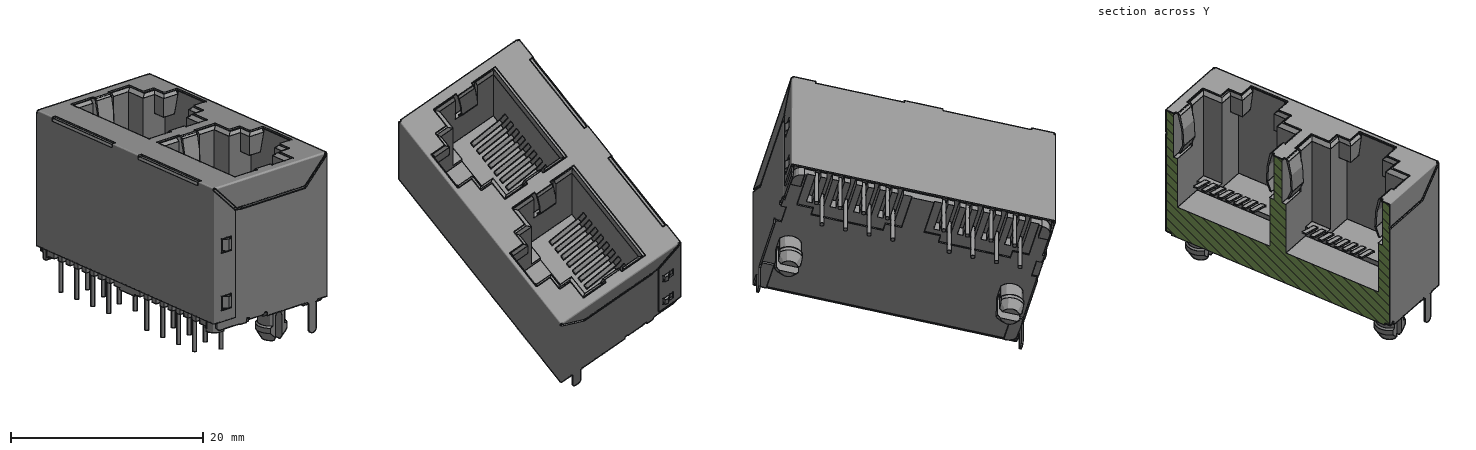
import cadquery as cq
import math


BODY_X = 28.5
BODY_Y = 15.6
TOP_Z = 16.2
SHEET = 0.17
SIDE_X = BODY_X / 2
FRONT_Y = -BODY_Y / 2
REAR_Y = BODY_Y / 2
INNER_X = SIDE_X - SHEET
INNER_FRONT = FRONT_Y + SHEET
INNER_REAR = REAR_Y - SHEET
INNER_TOP = TOP_Z - SHEET
FRONT_BOTTOM_Z = 0.98

SEAM_GAP = 0.3
SEAM_DROP = 3.13
FLAP_END_Y = -4.85
JOGGLE_START_Y = -3.95
JOGGLE_END_Y = -4.52
TONGUE_INNER_X = INNER_X - SHEET
TONGUE_END_Y = -7.27
TONGUE_CHAMFER = 0.32
WINDOW_Y, WINDOW_W, WINDOW_H = -6.08, 1.33, 1.62
WINDOW_Z = (9.5, 3.05)
LATCH_X = 14.48
LATCH_H = 1.3
LATCH_BACK_Y, LATCH_CREST_Y, LATCH_RAMP_Y = -5.55, -5.93, -6.45
LATCH_BACK_DROP = 0.05
GROUND_Y, GROUND_W, PIN_TIP_Z = 5.73, 1.0, -3.55
GROUND_CHAMFER = 0.2
LIP_Y, LIP_W, LIP_Z, LIP_DEPTH = -1.9, 1.97, 0.2, 0.58
LIP_BEND_R = 0.15
RELIEF_W, RELIEF_H, RELIEF_R = 0.43, 0.5, 0.17
EDGE_SLOT_W, EDGE_SLOT_DEPTH, EDGE_SLOT_H = 9.55, 0.5, 0.43

PORT_SPACING = 13.72
PORT_X = PORT_SPACING / 2
PORT_CENTRES = (-PORT_X, PORT_X)
OPENING_HALVES = (6.25, 4.0, 2.35)
OPENING_LEVELS = (-3.97, 4.05, 5.47, 7.25)
OPENING_CORNER_R = 0.15
SPRING_Y, SPRING_W = 0.12, 2.03
SPRING_ROOT, SPRING_BEND, SPRING_KNEE, SPRING_CREST = 5.95, 5.67, 5.33, 5.2
SPRING_BEND_Z = 15.92
SPRING_KNEE_Z, SPRING_CREST_Z, SPRING_TIP_Z = 14.19, 12.15, 11.0
SPRING_BAY_W, SPRING_BAY_HALF, SPRING_BAY_Z = 2.85, 6.3, 10.42
LEAD_IN = 0.32
UPPER_LEAD_IN = 0.45
SHOULDER_Z = 13.6
LATCH_TOP_SLOPE = 0.55
CAVITY_BOTTOM_Y, FLOOR_STEP_Y = -3.4, 2.4
CAVITY_HALF, CAVITY_Y = 5.82, 3.55
CHANNEL_HALF, SHOULDER_Y = 3.47, 5.12
LATCH_HALF, LATCH_Y = 2.0, 6.6
FLOOR_Z, CHANNEL_FLOOR_Z, WING_FLOOR_Z = 4.05, 4.63, 5.2

CONTACT_COUNT = 8
CONTACT_PITCH, CONTACT_W, CONTACT_T = 1.0, 0.52, 0.2
CONTACT_ROOT_Z, CONTACT_BEND_Y, CONTACT_BEND_Z = 8.68, -2.7, 8.08
CONTACT_KNEE_Y, CONTACT_KNEE_Z, CONTACT_TIP_Y, CONTACT_TIP_Z = 0.85, 7.25, 1.05, 7.12
PIN_PITCH, PIN_D = 1.27, 0.43
PIN_ROWS_Y = (-6.85, -4.3)
PIN_SLOT_W, PIN_SLOT_Z = 0.6, 1.45
POCKET_H = 0.2
POCKET_W, POCKET_END_Y = 11.3, -3.47
POCKET_CORE_W, POCKET_CORE_END_Y = 7.75, -2.6
PEG_X, PEG_Y, PEG_FLAT_W = 11.93, 2.03, 2.4
PEG_R, BARB_R, PEG_TIP_R = 1.45, 1.65, 1.0
BARB_START_Z, BARB_TOP_Z, BARB_LOW_Z, PEG_TIP_Z = -1.97, -2.15, -2.72, -3.8
PEG_SLIT_W, PEG_SLIT_TOP_Z = 0.85, -0.58
FOOT_INNER_X, FOOT_H, FOOT_CORNER_R = 12.8, 0.3, 0.98
FRONT_FOOT_Y, REAR_FOOT_Y = -6.1, 4.55
FRONT_STEP = 0.12
RECESS_START_Y = -3.8


def span_box(x0, x1, y0, y1, z0, z1):
    """Box between two corner points."""
    return cq.Workplane("XY").box(x1 - x0, y1 - y0, z1 - z0, centered=False).translate((x0, y0, z0))


def both_sides(solid):
    """The solid of the +X side together with its mirror image."""
    return solid.union(solid.mirror("YZ"))


def stepped_outline(halves, levels):
    """Points of a T-shaped port outline from its three half widths and four Y levels, lowest first."""
    body, step, slot = halves
    low, shoulder, ledge, top = levels
    right = [(body, low), (body, shoulder), (step, shoulder), (step, ledge), (slot, ledge), (slot, top)]
    return right + [(-x, y) for x, y in reversed(right)]



def shield_opening():
    """Port opening in the top sheet, its four inward-pointing sheet corners rounded."""
    points = stepped_outline(OPENING_HALVES, OPENING_LEVELS)
    opening = cq.Workplane("XY").polyline(points).close().extrude(SHEET)
    for x, y in (points[2], points[4], points[7], points[9]):
        corner = cq.selectors.NearestToPointSelector((x, y, SHEET / 2))
        opening = opening.edges(corner).fillet(OPENING_CORNER_R)
    return opening.translate((0, 0, INNER_TOP))


def contact_spring():
    """Sheet finger bent down from the +X edge of an opening and bowed into the port."""
    root = OPENING_HALVES[0] + SHEET
    inner = [
        (SPRING_ROOT, TOP_Z),
        (SPRING_BEND, SPRING_BEND_Z),
        (SPRING_KNEE, SPRING_KNEE_Z),
        (SPRING_CREST, SPRING_CREST_Z),
        (SPRING_BEND, SPRING_TIP_Z),
    ]
    outer = [
        (SPRING_BEND + SHEET, SPRING_TIP_Z),
        (SPRING_CREST + SHEET, SPRING_CREST_Z),
        (SPRING_KNEE + SHEET, SPRING_KNEE_Z),
        (SPRING_ROOT, INNER_TOP),
    ]
    outline = [(root, TOP_Z)] + inner + outer + [(root, INNER_TOP)]
    finger = cq.Workplane("XZ").polyline(outline).close().extrude(SPRING_W / 2, both=True)
    return finger.translate((0, SPRING_Y, 0))


def side_seam():
    """Open seam in the +X wall: two 45 degree legs from the top corners and a level run between them."""
    half = SEAM_GAP / 2
    leg = half * math.tan(math.radians(22.5))
    slant = SEAM_GAP / math.sqrt(2)
    low_z = TOP_Z - SEAM_DROP - half
    high_z = TOP_Z - SEAM_DROP + half
    low_y = REAR_Y - SEAM_DROP + leg
    high_y = REAR_Y - SEAM_DROP - leg
    points = [
        (-low_y, low_z),
        (low_y, low_z),
        (REAR_Y, TOP_Z - slant),
        (REAR_Y, TOP_Z),
        (REAR_Y - slant, TOP_Z),
        (high_y, high_z),
        (-high_y, high_z),
        (slant - REAR_Y, TOP_Z),
        (-REAR_Y, TOP_Z),
        (-REAR_Y, TOP_Z - slant),
    ]
    return cq.Workplane("YZ").workplane(offset=INNER_X).polyline(points).close().extrude(SHEET)


def joggled_tongue():
    """Front part of the +X wall, stepped inwards by one sheet to pass under the front flap."""
    middle_y = (JOGGLE_START_Y + JOGGLE_END_Y) / 2
    tongue = (
        cq.Workplane("XY")
        .moveTo(SIDE_X, JOGGLE_START_Y + SHEET)
        .lineTo(SIDE_X, JOGGLE_START_Y)
        .tangentArcPoint((SIDE_X - SHEET / 2, middle_y), relative=False)
        .tangentArcPoint((INNER_X, JOGGLE_END_Y), relative=False)
        .lineTo(INNER_X, TONGUE_END_Y)
        .lineTo(TONGUE_INNER_X, TONGUE_END_Y)
        .lineTo(TONGUE_INNER_X, JOGGLE_END_Y)
        .tangentArcPoint((INNER_X - SHEET / 2, middle_y), relative=False)
        .tangentArcPoint((INNER_X, JOGGLE_START_Y), relative=False)
        .lineTo(INNER_X, JOGGLE_START_Y + SHEET)
        .close()
        .extrude(TOP_Z - SEAM_DROP - SEAM_GAP / 2)
    )
    return tongue.faces("<Y").edges("<Z").chamfer(TONGUE_CHAMFER)


def latch_bump(z):
    """Ramped latch pressed out of the tongue through a flap window at height z."""
    points = [
        (INNER_X, LATCH_BACK_Y),
        (LATCH_X - LATCH_BACK_DROP, LATCH_BACK_Y),
        (LATCH_X, LATCH_CREST_Y),
        (INNER_X, LATCH_RAMP_Y),
    ]
    bump = cq.Workplane("XY").polyline(points).close().extrude(LATCH_H)
    return bump.translate((0, 0, z - LATCH_H / 2))


def ground_tab():
    """Round-ended solder tab below the +X wall, splayed where it joins the wall."""
    half = GROUND_W / 2
    root = half + GROUND_CHAMFER
    tab = (
        cq.Workplane("YZ")
        .workplane(offset=INNER_X)
        .moveTo(-root, 0)
        .lineTo(-half, -GROUND_CHAMFER)
        .lineTo(-half, PIN_TIP_Z + half)
        .threePointArc((0, PIN_TIP_Z), (half, PIN_TIP_Z + half))
        .lineTo(half, -GROUND_CHAMFER)
        .lineTo(root, 0)
        .lineTo(root, SHEET)
        .lineTo(-root, SHEET)
        .close()
        .extrude(SHEET)
    )
    return tab.translate((0, GROUND_Y, 0))


def lip_reliefs():
    """Round-topped reliefs at both ends of the bent lip, and the edge cut away for the lip itself."""
    cut = span_box(INNER_X, SIDE_X, LIP_Y - LIP_W / 2, LIP_Y + LIP_W / 2, 0, LIP_Z + SHEET)
    for side in (-1, 1):
        y = LIP_Y + side * (LIP_W + RELIEF_W) / 2
        relief = span_box(INNER_X, SIDE_X, y - RELIEF_W / 2, y + RELIEF_W / 2, 0, RELIEF_H)
        cut = cut.union(relief.edges("|X and >Z").fillet(RELIEF_R))
    return cut


def bent_lip():
    """Lip at the bottom of the +X wall, folded into the housing."""
    lip = span_box(
        INNER_X - LIP_DEPTH, SIDE_X, LIP_Y - LIP_W / 2, LIP_Y + LIP_W / 2, LIP_Z, LIP_Z + SHEET
    )
    return lip.edges("|Y and >X and <Z").fillet(LIP_BEND_R)


def edge_slot():
    """Slot along the front top edge above one port, with a slanted cut through the front wall."""
    points = [
        (FRONT_Y, TOP_Z - EDGE_SLOT_H),
        (INNER_FRONT, INNER_TOP),
        (FRONT_Y + EDGE_SLOT_DEPTH, INNER_TOP),
        (FRONT_Y + EDGE_SLOT_DEPTH, TOP_Z),
        (FRONT_Y, TOP_Z),
    ]
    return cq.Workplane("YZ").polyline(points).close().extrude(EDGE_SLOT_W / 2, both=True)


def build_shield():
    shell = span_box(-SIDE_X, SIDE_X, FRONT_Y, REAR_Y, 0, TOP_Z).edges("|Z or >Z").fillet(SHEET)
    shell = shell.cut(span_box(-INNER_X, INNER_X, INNER_FRONT, INNER_REAR, 0, INNER_TOP))
    shell = shell.cut(span_box(-SIDE_X, SIDE_X, FRONT_Y, FLAP_END_Y, 0, FRONT_BOTTOM_Z))

    wall_cuts = side_seam().union(lip_reliefs())
    wall_cuts = wall_cuts.union(
        span_box(INNER_X, SIDE_X, FLAP_END_Y, JOGGLE_START_Y, 0, TOP_Z - SEAM_DROP)
    )
    for z in WINDOW_Z:
        window = cq.Workplane("XY").box(SHEET, WINDOW_W, WINDOW_H)
        wall_cuts = wall_cuts.union(window.translate((INNER_X + SHEET / 2, WINDOW_Y, z)))
    shell = shell.cut(both_sides(wall_cuts))

    wall_parts = joggled_tongue().union(ground_tab()).union(bent_lip())
    for z in WINDOW_Z:
        wall_parts = wall_parts.union(latch_bump(z))
    shell = shell.union(both_sides(wall_parts))

    for x in PORT_CENTRES:
        shell = shell.cut(shield_opening().translate((x, 0, 0)))
        shell = shell.union(both_sides(contact_spring()).translate((x, 0, 0)))
        shell = shell.cut(edge_slot().translate((x, 0, 0)))
    return shell



def port_cavity():
    """Plug cavity with its lead-in, latch slot, latch channel, stepped floor and spring bays."""
    plug_bay = span_box(-CAVITY_HALF, CAVITY_HALF, CAVITY_BOTTOM_Y, FLOOR_STEP_Y, FLOOR_Z, INNER_TOP)
    wings = span_box(-CAVITY_HALF, CAVITY_HALF, FLOOR_STEP_Y, CAVITY_Y, WING_FLOOR_Z, INNER_TOP)
    channel = span_box(-CHANNEL_HALF, CHANNEL_HALF, FLOOR_STEP_Y, LATCH_Y, CHANNEL_FLOOR_Z, SHOULDER_Z)
    throat = span_box(-CHANNEL_HALF, CHANNEL_HALF, FLOOR_STEP_Y, SHOULDER_Y, CHANNEL_FLOOR_Z, INNER_TOP)
    latch_slot = (
        cq.Workplane("YZ")
        .polyline([
            (SHOULDER_Y, SHOULDER_Z),
            (LATCH_Y, SHOULDER_Z),
            (LATCH_Y + LATCH_TOP_SLOPE, INNER_TOP),
            (SHOULDER_Y, INNER_TOP),
        ])
        .close()
        .extrude(LATCH_HALF, both=True)
    )
    slot_top = LATCH_Y + LATCH_TOP_SLOPE * (1 - LEAD_IN / (INNER_TOP - SHOULDER_Z))
    cavity_halves = (CAVITY_HALF, CHANNEL_HALF, LATCH_HALF)
    lead_in = (
        cq.Workplane("XY")
        .workplane(offset=INNER_TOP - LEAD_IN)
        .polyline(stepped_outline(cavity_halves, (CAVITY_BOTTOM_Y, CAVITY_Y, SHOULDER_Y, slot_top)))
        .close()
        .workplane(offset=LEAD_IN)
        .polyline(
            stepped_outline(
                [half + LEAD_IN for half in cavity_halves],
                (CAVITY_BOTTOM_Y - LEAD_IN, CAVITY_Y + UPPER_LEAD_IN, SHOULDER_Y + LEAD_IN, slot_top),
            )
        )
        .close()
        .loft(ruled=True)
    )
    spring_bays = span_box(
        -SPRING_BAY_HALF, SPRING_BAY_HALF,
        SPRING_Y - SPRING_BAY_W / 2, SPRING_Y + SPRING_BAY_W / 2, SPRING_BAY_Z, INNER_TOP,
    )
    cavity = plug_bay
    for space in (wings, channel, throat, latch_slot, lead_in, spring_bays):
        cavity = cavity.union(space)
    return cavity


def contact():
    """Bent contact strip reaching from the cavity wall into the port."""
    upper = [
        (CAVITY_BOTTOM_Y, CONTACT_ROOT_Z),
        (CONTACT_BEND_Y, CONTACT_BEND_Z),
        (CONTACT_KNEE_Y, CONTACT_KNEE_Z),
        (CONTACT_TIP_Y, CONTACT_TIP_Z),
    ]
    lower = [(y, z - CONTACT_T) for y, z in reversed(upper)]
    return cq.Workplane("YZ").polyline(upper + lower).close().extrude(CONTACT_W / 2, both=True)


def row_positions(pitch):
    """Positions of a row of contacts or pins, centred on the port."""
    return [(i - (CONTACT_COUNT - 1) / 2) * pitch for i in range(CONTACT_COUNT)]


def underside_pockets():
    """Shallow pocket below one port, with a slot open to the front for every pin."""
    front = INNER_FRONT
    cut = span_box(-POCKET_W / 2, POCKET_W / 2, front, POCKET_END_Y, 0, POCKET_H)
    cut = cut.union(span_box(-POCKET_CORE_W / 2, POCKET_CORE_W / 2, front, POCKET_CORE_END_Y, 0, POCKET_H))
    slot_end = PIN_ROWS_Y[1] + PIN_SLOT_W / 2
    for x in row_positions(PIN_PITCH):
        cut = cut.union(span_box(x - PIN_SLOT_W / 2, x + PIN_SLOT_W / 2, front, slot_end, 0, PIN_SLOT_Z))
    return cut


def pin():
    """Round solder pin hanging from the ceiling of its slot."""
    return cq.Workplane("XY").workplane(offset=PIN_TIP_Z).circle(PIN_D / 2).extrude(PIN_SLOT_Z - PIN_TIP_Z)


def board_peg():
    """Split snap-in peg with flat sides and a barbed tip."""
    peg = (
        cq.Workplane("XZ")
        .polyline([
            (0, 0),
            (PEG_R, 0),
            (PEG_R, BARB_START_Z),
            (BARB_R, BARB_TOP_Z),
            (BARB_R, BARB_LOW_Z),
            (PEG_TIP_R, PEG_TIP_Z),
            (0, PEG_TIP_Z),
        ])
        .close()
        .revolve(360, (0, 0, 0), (0, 1, 0))
    )
    flat, slit, reach = PEG_FLAT_W / 2, PEG_SLIT_W / 2, BARB_R
    peg = peg.intersect(span_box(-flat, flat, -reach, reach, PEG_TIP_Z, 0))
    slit_cut = span_box(-flat, flat, -slit, slit, PEG_TIP_Z, PEG_SLIT_TOP_Z - slit)
    slit_end = cq.Workplane("YZ").center(0, PEG_SLIT_TOP_Z - slit).circle(slit).extrude(flat, both=True)
    return peg.cut(slit_cut).cut(slit_end).translate((PEG_X, PEG_Y, 0))


def corner_feet():
    """Front and rear standoff feet of the +X side, each with a rounded outer corner."""
    front = span_box(FOOT_INNER_X, TONGUE_INNER_X, INNER_FRONT, FRONT_FOOT_Y, -FOOT_H, 0)
    rear = span_box(FOOT_INNER_X, INNER_X, REAR_FOOT_Y, INNER_REAR, -FOOT_H, 0)
    front = front.edges("|Z and >X and <Y").fillet(FOOT_CORNER_R)
    rear = rear.edges("|Z and >X and >Y").fillet(FOOT_CORNER_R)
    return front.union(rear)


def build_housing():
    body = span_box(-INNER_X, INNER_X, INNER_FRONT, INNER_REAR, 0, INNER_TOP)

    recess_top = TOP_Z - SEAM_DROP + SEAM_GAP / 2
    recess = span_box(TONGUE_INNER_X, INNER_X, INNER_FRONT, RECESS_START_Y, 0, recess_top)
    lip_recess = span_box(
        INNER_X - LIP_DEPTH, INNER_X, LIP_Y - LIP_W / 2, LIP_Y + LIP_W / 2, 0, LIP_Z + SHEET
    )
    body = body.cut(both_sides(recess.union(lip_recess)))

    corner = span_box(FOOT_INNER_X, TONGUE_INNER_X, INNER_FRONT, FRONT_FOOT_Y, 0, FRONT_BOTTOM_Z)
    body = body.cut(both_sides(corner))
    body = body.union(both_sides(corner.edges("|Z and >X and <Y").fillet(FOOT_CORNER_R)))
    body = body.cut(
        span_box(-FOOT_INNER_X, FOOT_INNER_X, INNER_FRONT, INNER_FRONT + FRONT_STEP, 0, FRONT_BOTTOM_Z)
    )

    for x in PORT_CENTRES:
        body = body.cut(port_cavity().translate((x, 0, 0))).cut(underside_pockets().translate((x, 0, 0)))
        for offset in row_positions(CONTACT_PITCH):
            body = body.union(contact().translate((x + offset, 0, 0)))
        for i, offset in enumerate(row_positions(PIN_PITCH)):
            body = body.union(pin().translate((x + offset, PIN_ROWS_Y[i % 2], 0)))
    return body.union(both_sides(board_peg().union(corner_feet())))


shield = build_shield()
housing = build_housing()
result = cq.Compound.makeCompound([shield.val(), housing.val()])